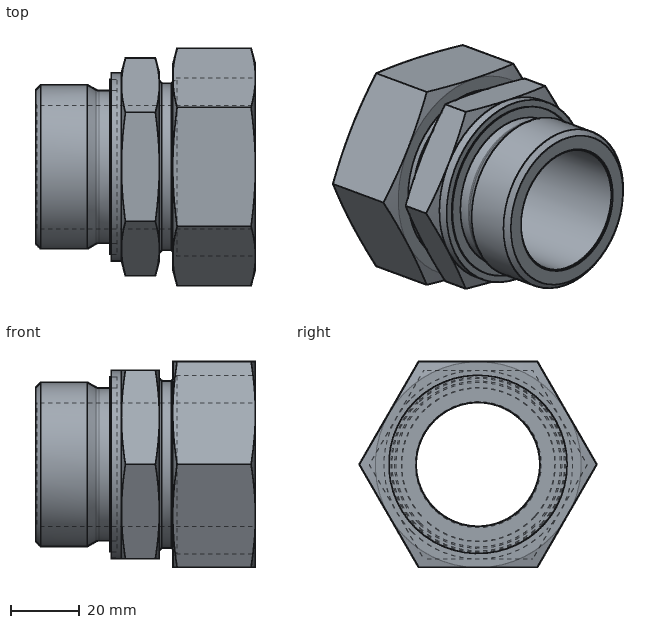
import cadquery as cq
import math


port_thread_end = 15.0
seal_face = 21.6
flange_face = 21.95
hex_start = 25.0
hex_end = 36.0
relief_end = 39.55
nut_start = 40.0
overall_length = 64.0

bore_radius = 18.0
port_thread_radius = 24.0
neck_radius = 22.3
relief_radius = 24.4
relief_rim_radius = 25.15
nut_thread_radius = 26.0

body_hex_flats = 55.0
nut_hex_flats = 60.0
hex_chamfer_angle = 15

seal_radius = 25.5
seal_thickness = 2.0

bore_chamfer = 0.35
port_chamfer = 1.5
runout_angle = 30
runout_fillet = 1.5

flange_radius = body_hex_flats / 2
seal_seat = seal_face + seal_thickness


def revolve_profile(points):
    """Turn a closed outline of (x, radius) points about the X axis."""
    return cq.Workplane("XY").polyline(points).close().revolve(360, (0, 0, 0), (1, 0, 0))


def tube(start, end, inner_radius, outer_radius):
    """Plain ring between two stations along X."""
    return revolve_profile([
        (start, inner_radius),
        (start, outer_radius),
        (end, outer_radius),
        (end, inner_radius),
    ])


def chamfered_hex(start, end, across_flats):
    """Hexagonal prism with flats facing +Z and -Z and corners turned off at both ends."""
    flat_radius = across_flats / 2
    corner_radius = flat_radius / math.cos(math.pi / 6)
    middle = (start + end) / 2
    cone_rise = (middle - start) / math.tan(math.radians(hex_chamfer_angle))
    prism = (
        cq.Workplane("YZ", origin=(start, 0, 0))
        .polygon(6, 2 * corner_radius)
        .extrude(end - start)
    )
    double_cone = revolve_profile([
        (start, 0),
        (start, flat_radius),
        (middle, flat_radius + cone_rise),
        (end, flat_radius),
        (end, 0),
    ])
    return prism.intersect(double_cone)


def port_end():
    """Port thread, its tapered runout and the neck, up to the flange face."""
    runout_slope = math.tan(math.radians(runout_angle))
    corner = port_thread_end + (port_thread_radius - neck_radius) / runout_slope
    half_angle = math.radians(runout_angle / 2)
    tangent = runout_fillet * math.tan(half_angle)
    fillet_start = (
        corner - tangent * math.cos(math.radians(runout_angle)),
        neck_radius + tangent * math.sin(math.radians(runout_angle)),
    )
    fillet_end = (corner + tangent, neck_radius)
    fillet_middle = (
        fillet_end[0] - runout_fillet * math.sin(half_angle),
        neck_radius + runout_fillet * (1 - math.cos(half_angle)),
    )
    return (
        cq.Workplane("XY")
        .moveTo(0, 0)
        .lineTo(0, port_thread_radius - port_chamfer)
        .lineTo(port_chamfer, port_thread_radius)
        .lineTo(port_thread_end, port_thread_radius)
        .lineTo(*fillet_start)
        .threePointArc(fillet_middle, fillet_end)
        .lineTo(flange_face, neck_radius)
        .lineTo(flange_face, 0)
        .close()
        .revolve(360, (0, 0, 0), (1, 0, 0))
    )


def nut_end():
    """Relief groove with 45 degree flanks, then the thread that fills the nut."""
    return revolve_profile([
        (hex_end, 0),
        (hex_end, relief_rim_radius),
        (hex_end + relief_rim_radius - relief_radius, relief_radius),
        (relief_end, relief_radius),
        (relief_end + nut_thread_radius - relief_radius, nut_thread_radius),
        (overall_length, nut_thread_radius),
        (overall_length, 0),
    ])


def through_bore():
    """Straight bore with a chamfered mouth at the port end."""
    return revolve_profile([
        (0, 0),
        (0, bore_radius + bore_chamfer),
        (bore_chamfer, bore_radius),
        (overall_length, bore_radius),
        (overall_length, 0),
    ])


def make_fitting_body():
    """Screw-in body: port end, flange with seal seat, hexagon and nut end."""
    flange = tube(flange_face, hex_start, 0, flange_radius)
    seal_recess = tube(flange_face, seal_seat, neck_radius, seal_radius)
    return (
        port_end()
        .union(flange)
        .union(chamfered_hex(hex_start, hex_end, body_hex_flats))
        .union(nut_end())
        .cut(seal_recess)
        .cut(through_bore())
    )


def make_seal_ring():
    """Ring seated in the flange, standing slightly proud of its face."""
    return tube(seal_face, seal_seat, neck_radius, seal_radius)


def make_nut():
    """Hexagon nut around the threaded end of the body."""
    thread_hole = tube(nut_start, overall_length, 0, nut_thread_radius)
    return chamfered_hex(nut_start, overall_length, nut_hex_flats).cut(thread_hole)


fitting_body = make_fitting_body()
seal_ring = make_seal_ring()
nut = make_nut()

result = cq.Compound.makeCompound([fitting_body.val(), seal_ring.val(), nut.val()])